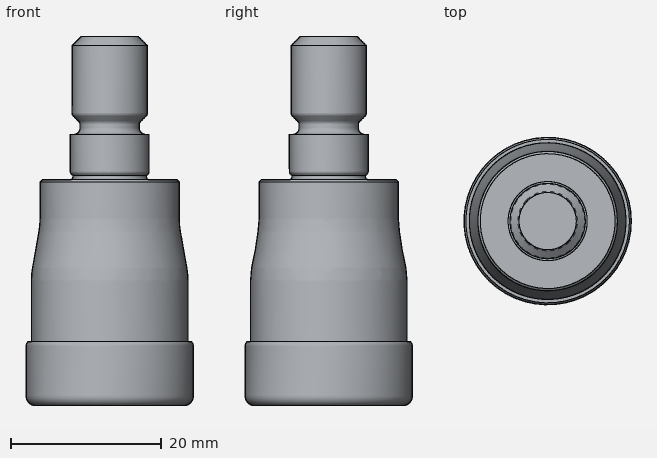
import cadquery as cq
import math

overall_height = 49.0
cap_top = 8.5
housing_top = 30.0
collar_bottom = 30.9
collar_top = 36.0
shank_bottom = 38.6
taper_top = 23.95

cap_radius = 22.225 / 2
cap_rim_radius = 10.85
housing_lower_radius = 10.4
housing_upper_radius = 9.25
collar_radius = 5.25
shank_radius = 5.0
neck_radius = 3.95
stem_root_radius = 4.9

taper_angle = math.radians(10)
taper_blend = 10.0
taper_height = (housing_lower_radius - housing_upper_radius) / math.tan(taper_angle)
taper_bottom = taper_top - taper_height

cap_rim_height = 0.6
cap_bottom_fillet = 1.3
housing_top_chamfer = 0.3
shank_tip_chamfer = 1.2
shank_edge_fillet = 0.5
undercut_edge_fillet = 0.4
neck_fillet = 0.85
stem_root_fillet = 0.35

neck_top = shank_bottom - (shank_radius - neck_radius)
stem_root_top = collar_bottom - (collar_radius - stem_root_radius)


def revolve_outline(points):
    """Solid of revolution about Z from (radius, height) points."""
    return cq.Workplane("XZ").polyline(points).close().revolve(360, (0, 0), (0, 1))


def fillet_circle(body, radius, height, fillet_radius):
    """Round the circular edge that lies at the given radius and height."""
    reach = 0.01
    selector = cq.selectors.BoxSelector(
        (-radius - reach, -radius - reach, height - reach),
        (radius + reach, radius + reach, height + reach),
        boundingbox=True,
    )
    inner = radius - reach
    edges = body.edges(selector).filter(
        lambda edge: edge.geomType() == "CIRCLE" and edge.radius() > inner
    )
    return body.newObject(edges.vals()).fillet(fillet_radius)


def make_stud_housing():
    """Tapered housing with the grooved mounting stud in one piece."""
    stud_housing = revolve_outline([
        (0, cap_top),
        (housing_lower_radius, cap_top),
        (housing_lower_radius, taper_bottom),
        (housing_upper_radius, taper_top),
        (housing_upper_radius, housing_top - housing_top_chamfer),
        (housing_upper_radius - housing_top_chamfer, housing_top),
        (stem_root_radius, housing_top),
        (stem_root_radius, stem_root_top),
        (collar_radius, collar_bottom),
        (collar_radius, collar_top),
        (neck_radius, collar_top),
        (neck_radius, neck_top),
        (shank_radius, shank_bottom),
        (shank_radius, overall_height - shank_tip_chamfer),
        (shank_radius - shank_tip_chamfer, overall_height),
        (0, overall_height),
    ])
    rounded_edges = [
        (housing_lower_radius, taper_bottom, taper_blend),
        (housing_upper_radius, taper_top, taper_blend),
        (stem_root_radius, housing_top, stem_root_fillet),
        (collar_radius, collar_bottom, undercut_edge_fillet),
        (neck_radius, collar_top, neck_fillet),
        (neck_radius, neck_top, undercut_edge_fillet),
        (shank_radius, shank_bottom, shank_edge_fillet),
    ]
    for radius, height, fillet_radius in rounded_edges:
        stud_housing = fillet_circle(stud_housing, radius, height, fillet_radius)
    return stud_housing


def make_end_cap():
    """Wider round cap below the housing; its rim arc meets the flat top at an edge."""
    rim_start = cap_top - cap_rim_height
    end_cap = (
        cq.Workplane("XZ")
        .lineTo(cap_radius, 0)
        .lineTo(cap_radius, rim_start)
        .tangentArcPoint((cap_rim_radius, cap_top), relative=False)
        .lineTo(0, cap_top)
        .close()
        .revolve(360, (0, 0), (0, 1))
    )
    return end_cap.faces("<Z").edges().fillet(cap_bottom_fillet)


stud_housing = make_stud_housing()
end_cap = make_end_cap()

result = cq.Compound.makeCompound([stud_housing.val(), end_cap.val()])